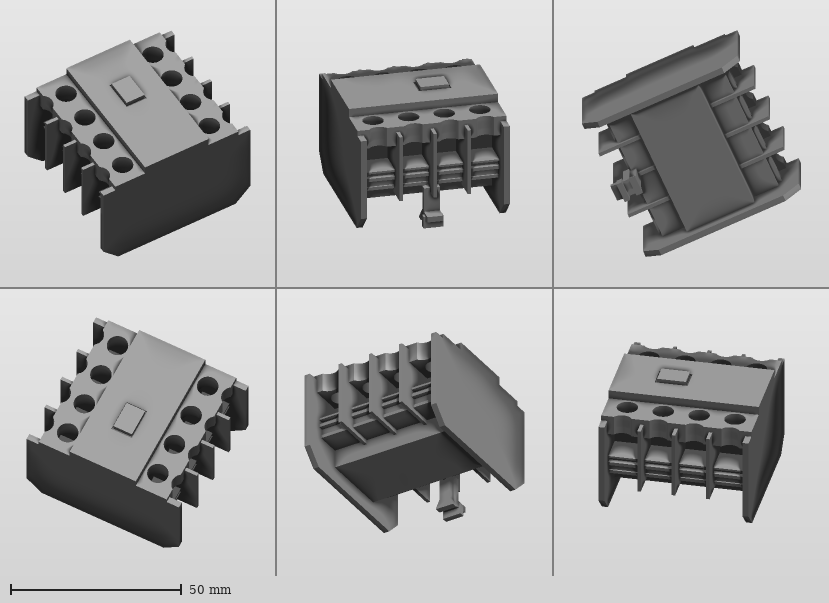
import cadquery as cq

WIDTH = 45.0
DEPTH = 50.03
HALF_DEPTH = DEPTH / 2
PLATE_TOP = 29.9
LEDGE_TOP = 31.5
HAT_TOP = 34.16
BUTTON_TOP = 35.22
CLIP_BOTTOM = -1.1

PLATE_THICKNESS = 1.85
PLATE_CHAMFER = 5.0
BARRIER_THICKNESS = 1.05
BARRIER_PITCH = 10.3
BARRIER_COUNT = 3
BARRIER_BOTTOM = 9.5

HAT_HALF_DEPTH = 10.85
CORE_BOTTOM = PLATE_CHAMFER
LEDGE_HALF_DEPTH = 21.0
LEDGE_BOTTOM = 25.5

POLE_COUNT = 4
POLE_PITCH = 10.75
POLE_SHIFT = 0.12
HOLE_DIAMETER = 6.3
HOLE_Y = 14.8
SCALLOP_WIDTH = 5.4
SCALLOP_DEPTH = 1.4

RAIL_WALL_HALF_DEPTH = 18.1
RAILS = (
    (16.6, 17.2, 19.7),
    (14.15, 15.15, 19.7),
    (10.9, 11.9, 18.65),
)

BUTTON_X = -5.35
BUTTON_WIDTH = 8.6
BUTTON_DEPTH = 6.1
POCKET_WIDTH = 9.85
POCKET_DEPTH = 6.75
POCKET_SINK = 0.5

CLIP_TOP = RAILS[-1][0]
LEVER_FRONT = 17.0
LEVER_BACK = 19.0
LEVER_BOTTOM = 0.0
LEVER_NECK_WIDTH = 3.45
LEVER_FLARE_WIDTH = 5.75
LEVER_FLARE_TOP = 3.0
LEVER_FLARE_BOTTOM = 0.45
STEM_WIDTH = 4.8
STEM_BOTTOM = 1.1
FOOT_WIDTH = 5.95
FOOT_FRONT = 21.1
FOOT_BACK = 22.8
FOOT_TOP = 2.6
HOOK_TOP = 3.4
HOOK_TIP_BOTTOM = 1.7
HOOK_ROOT_BOTTOM = 1.0


def block(width, y_min, y_max, z_min, z_max, x_center=0.0):
    """Box centred on x_center, between the given Y and Z limits."""
    corner = (x_center - width / 2, y_min, z_min)
    return cq.Workplane("XY").box(width, y_max - y_min, z_max - z_min, centered=False).translate(corner)


def symmetric_block(width, half_depth, z_min, z_max, x_center=0.0):
    """Box symmetric about the XZ plane."""
    return block(width, -half_depth, half_depth, z_min, z_max, x_center)


def row(count, pitch):
    """Evenly spaced X positions centred on zero."""
    return [(index - (count - 1) / 2) * pitch for index in range(count)]


def make_body():
    core = symmetric_block(WIDTH - PLATE_THICKNESS, HAT_HALF_DEPTH, CORE_BOTTOM, LEDGE_TOP)
    ledge = symmetric_block(WIDTH, LEDGE_HALF_DEPTH, LEDGE_BOTTOM, LEDGE_TOP)
    hat = symmetric_block(WIDTH, HAT_HALF_DEPTH, LEDGE_TOP, HAT_TOP)
    return core.union(ledge).union(hat)


def cut_poles(body):
    """Cut a screw hole and an edge scallop per pole, on both ledges."""
    thickness = LEDGE_TOP - LEDGE_BOTTOM
    scallop_radius = ((SCALLOP_WIDTH / 2) ** 2 + SCALLOP_DEPTH**2) / (2 * SCALLOP_DEPTH)
    scallop_y = LEDGE_HALF_DEPTH - SCALLOP_DEPTH + scallop_radius
    ledge_plane = cq.Workplane("XY").workplane(offset=LEDGE_BOTTOM)
    for side in (-1, 1):
        pole_xs = [x + POLE_SHIFT for x in row(POLE_COUNT, POLE_PITCH)]
        hole_points = [(x, side * HOLE_Y) for x in pole_xs]
        scallop_points = [(x, side * scallop_y) for x in pole_xs]
        holes = ledge_plane.pushPoints(hole_points).circle(HOLE_DIAMETER / 2).extrude(thickness)
        scallops = ledge_plane.pushPoints(scallop_points).circle(scallop_radius).extrude(thickness)
        body = body.cut(holes).cut(scallops)
    return body


def add_side_plates(body):
    for side in (-1, 1):
        x_center = side * (WIDTH - PLATE_THICKNESS) / 2
        plate = symmetric_block(PLATE_THICKNESS, HALF_DEPTH, 0, PLATE_TOP, x_center)
        body = body.union(plate.edges("|X and <Z").chamfer(PLATE_CHAMFER))
    return body


def add_barriers(body):
    for x in row(BARRIER_COUNT, BARRIER_PITCH):
        body = body.union(symmetric_block(BARRIER_THICKNESS, HALF_DEPTH, BARRIER_BOTTOM, PLATE_TOP, x))
    return body


def add_rails(body):
    """Add the wall that carries the terminal rails, and the rails themselves."""
    rail_length = WIDTH - PLATE_THICKNESS
    wall_bottom = min(bottom for bottom, top, half_depth in RAILS)
    wall_top = max(top for bottom, top, half_depth in RAILS)
    body = body.union(symmetric_block(rail_length, RAIL_WALL_HALF_DEPTH, wall_bottom, wall_top))
    for bottom, top, half_depth in RAILS:
        body = body.union(symmetric_block(rail_length, half_depth, bottom, top))
    return body


def add_button(body):
    pocket_floor = HAT_TOP - POCKET_SINK
    pocket = symmetric_block(POCKET_WIDTH, POCKET_DEPTH / 2, pocket_floor, HAT_TOP, BUTTON_X)
    button = symmetric_block(BUTTON_WIDTH, BUTTON_DEPTH / 2, pocket_floor, BUTTON_TOP, BUTTON_X)
    return body.cut(pocket).union(button)


def make_lever():
    """Flat lever of the clip, narrow at the neck and flared at its lower end."""
    half_neck = LEVER_NECK_WIDTH / 2
    half_flare = LEVER_FLARE_WIDTH / 2
    profile = [
        (-half_flare, LEVER_BOTTOM),
        (half_flare, LEVER_BOTTOM),
        (half_flare, LEVER_FLARE_BOTTOM),
        (half_neck, LEVER_FLARE_TOP),
        (half_neck, CLIP_TOP),
        (-half_neck, CLIP_TOP),
        (-half_neck, LEVER_FLARE_TOP),
        (-half_flare, LEVER_FLARE_BOTTOM),
    ]
    lever = cq.Workplane("XZ").polyline(profile).close().extrude(LEVER_FRONT - LEVER_BACK)
    return lever.translate((0, LEVER_FRONT, 0))


def make_clip():
    stem = block(STEM_WIDTH, LEVER_BACK, LEDGE_HALF_DEPTH, STEM_BOTTOM, CLIP_TOP)
    foot = block(FOOT_WIDTH, FOOT_FRONT, FOOT_BACK, CLIP_BOTTOM, FOOT_TOP)
    hook_profile = [
        (LEVER_BACK, STEM_BOTTOM),
        (FOOT_BACK, STEM_BOTTOM),
        (FOOT_BACK, HOOK_ROOT_BOTTOM),
        (HALF_DEPTH, HOOK_TIP_BOTTOM),
        (HALF_DEPTH, HOOK_TOP),
        (LEVER_BACK, HOOK_TOP),
    ]
    hook = cq.Workplane("YZ").polyline(hook_profile).close().extrude(STEM_WIDTH / 2, both=True)
    return make_lever().union(stem).union(hook).union(foot)


contact_block = cut_poles(make_body())
contact_block = add_side_plates(contact_block)
contact_block = add_barriers(contact_block)
contact_block = add_rails(contact_block)
contact_block = add_button(contact_block)
result = contact_block.union(make_clip())